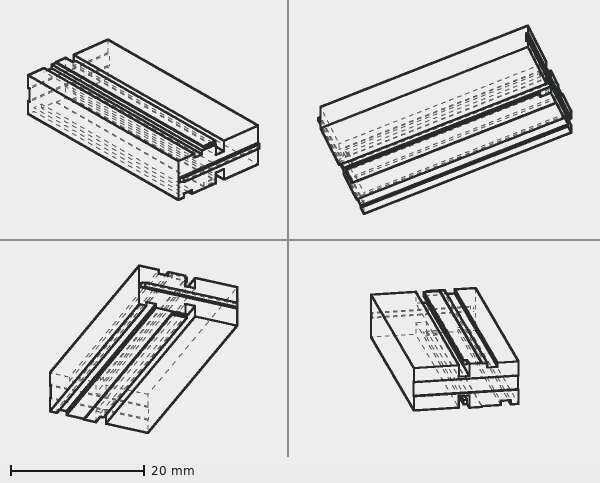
import cadquery as cq

TOTAL_LENGTH = 34.5
WIDTH = 16.0
TOTAL_HEIGHT = 7.0

TONGUE_LENGTH = 0.4
TONGUE_HEIGHT = 0.75
TONGUE_BACK_INSET = 0.1
TONGUE_FRONT_INSET = 0.3
CHANNEL_DEPTH = 0.3
CHANNEL_HEIGHT = 2.25

STRIP_RISE = 0.12
STRIP_THICKNESS = 0.65
STRIP_END_GAP = 0.65
POCKET_END_WALL = 0.45
STRIP_FRONT = -2.4
LIP_OVERHANG = 0.55
LIP_START = 1.72

SLOT_FRONT = -0.5
SLOT_WIDTH = 1.62
SLOT_DEPTH = 1.83
GROOVE_WIDTH = 1.55
GROOVE_DEPTH = 0.65
UPPER_GROOVE_FRONT = -4.8
LOWER_GROOVE_FRONT = -6.83

UPPER = 1
LOWER = -1
body_length = TOTAL_LENGTH - TONGUE_LENGTH
body_height = TOTAL_HEIGHT - 2 * STRIP_RISE
face_height = body_height / 2
strip_end = body_length - STRIP_END_GAP
pocket_end = body_length - POCKET_END_WALL
strip_top = TOTAL_HEIGHT / 2
strip_floor = strip_top - STRIP_THICKNESS


def block(x_range, y_range, z_range):
    """Box spanning the given ranges."""
    ranges = (x_range, y_range, z_range)
    sizes = [abs(end - start) for start, end in ranges]
    corner = [min(limits) for limits in ranges]
    return cq.Workplane("XY").box(*sizes, centered=False).translate(tuple(corner))


def lengthwise_groove(side, front, width, depth):
    """Groove cutter running the whole body on the upper or lower face."""
    z_range = (side * (face_height - depth), side * strip_top)
    return block((0, body_length), (front, front + width), z_range)


def strip_pocket(side):
    """Recess that leaves a narrow gap beyond the +X end of the strip."""
    z_range = (side * strip_floor, side * strip_top)
    return block((0, pocket_end), (STRIP_FRONT, SLOT_FRONT), z_range)


def strip(side):
    """Proud strip with a lip overhanging the slot, cut back at the -X end."""
    z_range = (side * strip_floor, side * strip_top)
    bar = block((0, strip_end), (STRIP_FRONT, SLOT_FRONT), z_range)
    lip = block((LIP_START, strip_end), (SLOT_FRONT, SLOT_FRONT + LIP_OVERHANG), z_range)
    return bar.union(lip)


def end_tongue():
    """Thin tongue across the +X end with its -Y end bevelled at 45 degrees."""
    back = WIDTH / 2 - TONGUE_BACK_INSET
    front = -WIDTH / 2 + TONGUE_FRONT_INSET
    outline = [
        (body_length, back),
        (TOTAL_LENGTH, back),
        (TOTAL_LENGTH, front + TONGUE_LENGTH),
        (body_length, front),
    ]
    return cq.Workplane("XY").polyline(outline).close().extrude(TONGUE_HEIGHT / 2, both=True)


def end_channel():
    """Channel cutter across the full width of the -X end."""
    half_height = CHANNEL_HEIGHT / 2
    return block((0, CHANNEL_DEPTH), (-WIDTH / 2, WIDTH / 2), (-half_height, half_height))


result = block((0, body_length), (-WIDTH / 2, WIDTH / 2), (-face_height, face_height))
for side, groove_front in ((UPPER, UPPER_GROOVE_FRONT), (LOWER, LOWER_GROOVE_FRONT)):
    result = result.cut(lengthwise_groove(side, SLOT_FRONT, SLOT_WIDTH, SLOT_DEPTH))
    result = result.cut(lengthwise_groove(side, groove_front, GROOVE_WIDTH, GROOVE_DEPTH))
    result = result.cut(strip_pocket(side)).union(strip(side))
result = result.cut(end_channel()).union(end_tongue())